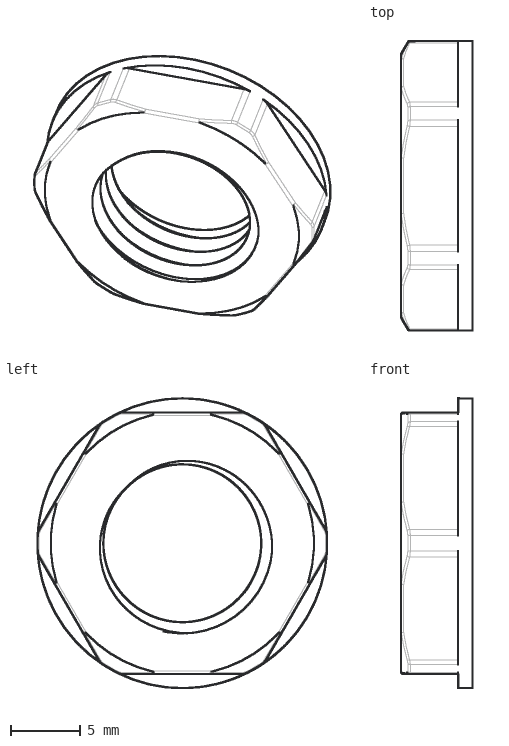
import cadquery as cq
import math

flange_diameter = 20.9
total_length = 5.18
flange_thickness = 1.05
across_flats = 18.85
corner_blend_radius = 1.0
crown_diameter = 18.98
crown_depth = 0.56
front_edge_radius = 0.2

bore_diameter = 11.37
thread_pitch = 1.5
thread_root_diameter = 13.0
flank_half_angle = 35.0
root_width = 0.33
start_angle = -45.0
cutter_overlap = 0.01
bore_overrun = 2.1

flange_radius = flange_diameter / 2
crown_radius = crown_diameter / 2
hex_length = total_length - flange_thickness
core_radius = (thread_root_diameter / 2 + across_flats / 2) / 2


def make_hexagon():
    """Hexagon with flats at +Z and -Z and corners rounded off to the flange diameter."""
    across_corners = across_flats / math.cos(math.pi / 6)
    hexagon = cq.Workplane("YZ").polygon(6, across_corners).extrude(hex_length)
    envelope = cq.Workplane("YZ").circle(flange_radius).extrude(hex_length)
    return hexagon.intersect(envelope).edges("|X").fillet(corner_blend_radius)


def make_crown_envelope():
    """Round envelope whose conical front end chamfers the hexagon corners."""
    outline = [
        (0, 0),
        (0, crown_radius),
        (crown_depth, flange_radius),
        (crown_depth, flange_diameter),
        (hex_length, flange_diameter),
        (hex_length, 0),
    ]
    return cq.Workplane("XY").polyline(outline).close().revolve(360, (0, 0, 0), (1, 0, 0))


def is_crown_arc(edge):
    """True for an arc lying in the front face, where the crown cone starts."""
    return edge.geomType() == "CIRCLE" and edge.Center().x < crown_depth / 2


def make_head():
    """Crowned hexagon with the edges around its flats and cones rounded."""
    head = make_hexagon().intersect(make_crown_envelope())
    front_face = head.faces("<X").val()
    cones = [face for face in head.faces().vals() if face.geomType() == "CONE"]
    candidates = front_face.Edges() + [edge for cone in cones for edge in cone.Edges()]
    rim = [edge for edge in candidates if not is_crown_arc(edge)]
    unique_rim = list({edge.hashCode(): edge for edge in rim}.values())
    return head.newObject(unique_rim).fillet(front_edge_radius)


def make_flange():
    return cq.Workplane("YZ").workplane(offset=hex_length).circle(flange_radius).extrude(flange_thickness)


def make_thread_cutter():
    """Right-handed helical groove running past both ends of the bore."""
    root_radius = thread_root_diameter / 2
    inner_radius = bore_diameter / 2 - cutter_overlap
    half_root = root_width / 2
    half_mouth = half_root + (root_radius - inner_radius) * math.tan(math.radians(flank_half_angle))
    helix = cq.Wire.makeHelix(thread_pitch, total_length + 2 * thread_pitch, bore_diameter / 2)
    groove = (
        cq.Workplane("XZ")
        .polyline([
            (inner_radius, -half_mouth),
            (root_radius, -half_root),
            (root_radius, half_root),
            (inner_radius, half_mouth),
        ])
        .close()
        .sweep(cq.Workplane(obj=helix), isFrenet=True)
    )
    along_x = groove.translate((0, 0, -thread_pitch)).rotate((0, 0, 0), (0, 1, 0), 90)
    return along_x.rotate((0, 0, 0), (1, 0, 0), start_angle)


def make_threaded_core():
    """Threaded ring around the bore, which fits inside the plain body."""
    core = cq.Workplane("YZ").circle(core_radius).extrude(total_length)
    bore = (
        cq.Workplane("YZ")
        .workplane(offset=-bore_overrun)
        .circle(bore_diameter / 2)
        .extrude(total_length + 2 * bore_overrun)
    )
    return core.cut(make_thread_cutter()).cut(bore)


core_space = cq.Workplane("YZ").circle(core_radius).extrude(total_length)
body = make_head().union(make_flange()).cut(core_space)
result = body.union(make_threaded_core())